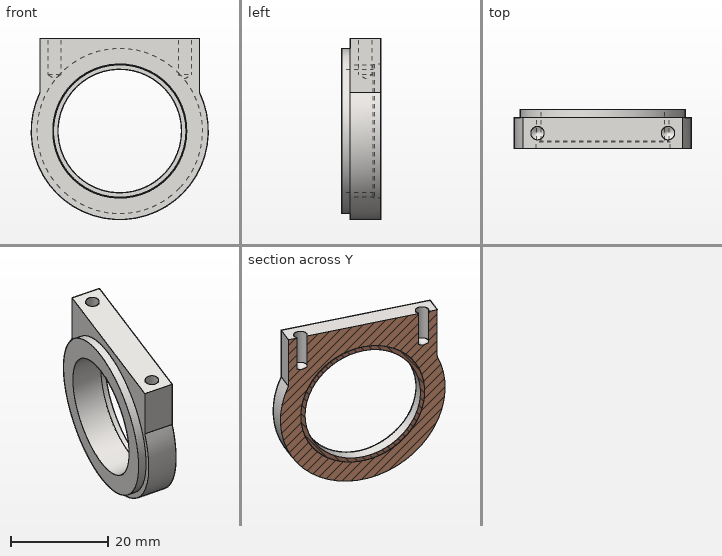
import cadquery as cq
import math

housing_radius = 18.25
housing_depth = 6.35
block_width = 32.95
overall_height = 37.35
block_top = overall_height - housing_radius
mouth_radius = 13.8
mouth_depth = 1.35

hole_diameter = 2.75
hole_spacing = 26.9
hole_depth = 7.45
drill_point_angle = 118

sleeve_radius = 13.63
sleeve_bore_radius = 12.7
sleeve_recess = 1.55
flange_radius = 17.03
flange_thickness = 1.7


def cylinder_along_y(radius, y_start, y_end):
    """Solid cylinder on the Y axis between two Y positions."""
    return cq.Workplane("XZ", origin=(0, y_start, 0)).circle(radius).extrude(y_start - y_end)


def drill_cutter(x):
    """Blind hole with a conical drill point, entering the block top at x."""
    radius = hole_diameter / 2
    point_length = radius / math.tan(math.radians(drill_point_angle / 2))
    return (
        cq.Workplane("XZ", origin=(x, housing_depth / 2, block_top))
        .lineTo(radius, 0)
        .lineTo(radius, -hole_depth)
        .lineTo(0, -hole_depth - point_length)
        .close()
        .revolve(360, (0, 0, 0), (0, 1, 0))
    )


def mouth_cutter():
    """Wider front mouth of the bore, ending in a taper down to the sleeve."""
    return (
        cq.Workplane("XY")
        .lineTo(mouth_radius, 0)
        .lineTo(mouth_radius, mouth_depth)
        .lineTo(sleeve_radius, sleeve_recess)
        .lineTo(0, sleeve_recess)
        .close()
        .revolve(360, (0, 0, 0), (0, 1, 0))
    )


def make_housing():
    ring = cylinder_along_y(housing_radius, 0, housing_depth)
    block = cq.Workplane("XY").box(
        block_width, housing_depth, block_top, centered=(True, False, False)
    )
    body = ring.union(block)

    body = body.cut(cylinder_along_y(sleeve_radius, 0, housing_depth))
    body = body.cut(mouth_cutter())

    for x in (-hole_spacing / 2, hole_spacing / 2):
        body = body.cut(drill_cutter(x))
    return body


def make_sleeve():
    back = housing_depth + flange_thickness
    tube = cylinder_along_y(sleeve_radius, sleeve_recess, back)
    flange = cylinder_along_y(flange_radius, housing_depth, back)
    return tube.union(flange).cut(cylinder_along_y(sleeve_bore_radius, 0, back))


housing = make_housing()
sleeve = make_sleeve()
result = cq.Compound.makeCompound([housing.val(), sleeve.val()])